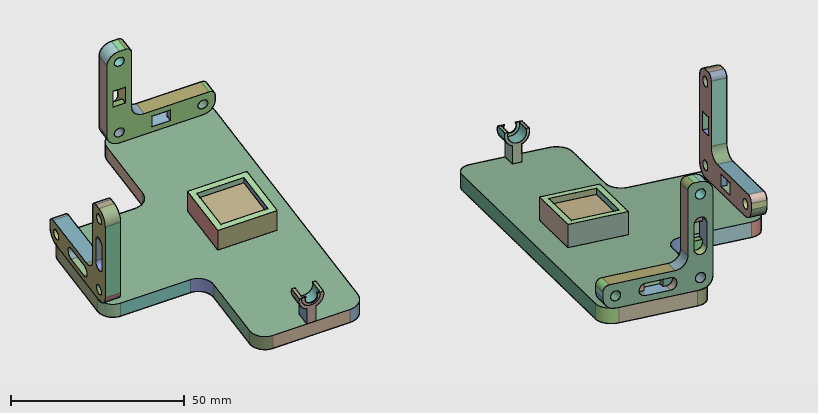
import cadquery as cq

bar_length = 100.0
arm_width = 35.0
stem_length = 32.5
plate_thickness = 5.0
plate_corner_radius = 5.0
bar_center_x = bar_length / 2
bar_center_y = arm_width / 2
stem_left_x = bar_center_x - arm_width / 2
stem_right_x = bar_center_x + arm_width / 2

bracket_size = arm_width
bracket_thickness = 5.0
leg_width = 8.0
bracket_outer_radius = 4.0
bracket_tip_radius = 2.0
bracket_inner_radius = 4.0
hole_diameter = 3.2

slot_length = 12.0
slot_width = 4.0
slot_depth = 3.0
window_length = 6.0

holder_side = 19.2
holder_wall = 2.0
holder_pocket_side = holder_side - 2 * holder_wall
holder_height = 7.5
holder_pocket_depth = 2.0

clip_length = 5.0
clip_bore_radius = 3.0
clip_wall = 1.0
clip_outer_radius = clip_bore_radius + clip_wall
clip_lip_radius = 2.0
clip_lip_thickness = 0.3
clip_axis_height = 9.5
clip_top_height = 10.5
post_width = 3.0


def make_plate():
    outline = [
        (0, 0),
        (stem_left_x, 0),
        (stem_left_x, -stem_length),
        (stem_right_x, -stem_length),
        (stem_right_x, 0),
        (bar_length, 0),
        (bar_length, arm_width),
        (0, arm_width),
    ]
    slab = cq.Workplane("XY").polyline(outline).close().extrude(plate_thickness)
    return slab.edges("|Z").fillet(plate_corner_radius)


def round_bracket_corners(body, corners, radius):
    """Round the edges across the bracket's thickness at the given (x, z) corners."""
    for x, z in corners:
        edge = cq.selectors.NearestToPointSelector((x, bracket_thickness / 2, z))
        body = body.edges(edge).fillet(radius)
    return body


def cut_slot(body, center, angle):
    """Cut one slot; at angle 0 it runs along X, at 90 along Z."""
    plane = cq.Workplane("XZ").center(*center).transformed(rotate=(0, 0, angle))
    recess = plane.slot2D(slot_length, slot_width).extrude(-slot_depth)
    window = plane.rect(window_length, slot_width).extrude(-bracket_thickness)
    return body.cut(recess).cut(window)


def make_bracket():
    """Bracket with its outer face on y = 0, its legs along the bottom and the +X side."""
    size = bracket_size
    inner_x = size - leg_width
    outer_corners = [(0, 0), (size, 0), (size, size)]
    upright_tip = (inner_x, size)
    inner_corner = (inner_x, leg_width)
    foot_tip = (0, leg_width)
    outline = [*outer_corners, upright_tip, inner_corner, foot_tip]

    body = cq.Workplane("XZ").polyline(outline).close().extrude(-bracket_thickness)
    body = round_bracket_corners(body, outer_corners, bracket_outer_radius)
    body = round_bracket_corners(body, [upright_tip, foot_tip], bracket_tip_radius)
    body = round_bracket_corners(body, [inner_corner], bracket_inner_radius)

    near = leg_width / 2
    far = size - near
    hole_centers = [(near, near), (far, near), (far, far)]
    holes = cq.Workplane("XZ").pushPoints(hole_centers).circle(hole_diameter / 2)
    body = body.cut(holes.extrude(-bracket_thickness))

    body = cut_slot(body, (size / 2, near), 0)
    return cut_slot(body, (far, size / 2), 90)


def place_brackets():
    """One bracket flush with the stem's -Y end, the other turned to be flush with the bar's -X end."""
    placements = [
        (0, (stem_left_x, -stem_length, plate_thickness)),
        (-90, (0, arm_width, plate_thickness)),
    ]
    return [make_bracket().rotate((0, 0, 0), (0, 0, 1), turn).translate(place) for turn, place in placements]


def make_holder():
    block = (
        cq.Workplane("XY", origin=(bar_center_x, bar_center_y, plate_thickness))
        .rect(holder_side, holder_side)
        .extrude(holder_height)
    )
    pocket = block.faces(">Z").workplane().rect(holder_pocket_side, holder_pocket_side)
    return pocket.cutBlind(-holder_pocket_depth)


def make_clip():
    start = (bar_length - clip_length, bar_center_y, plate_thickness)
    base = cq.Workplane("YZ", origin=start)
    ring_center = base.center(0, clip_axis_height)

    post = base.center(0, clip_axis_height / 2).rect(post_width, clip_axis_height).extrude(clip_length)
    clip = ring_center.circle(clip_outer_radius).extrude(clip_length).union(post)
    clip = clip.cut(ring_center.circle(clip_bore_radius).extrude(clip_length - clip_lip_thickness))
    clip = clip.cut(ring_center.circle(clip_lip_radius).extrude(clip_length))

    below_top = base.center(0, clip_top_height / 2).rect(2 * clip_outer_radius, clip_top_height)
    return clip.intersect(below_top.extrude(clip_length))


plate = make_plate()
brackets = place_brackets()
holder = make_holder()
clip = make_clip()

result = cq.Compound.makeCompound([
    plate.val(),
    *[bracket.val() for bracket in brackets],
    holder.val(),
    clip.val(),
])